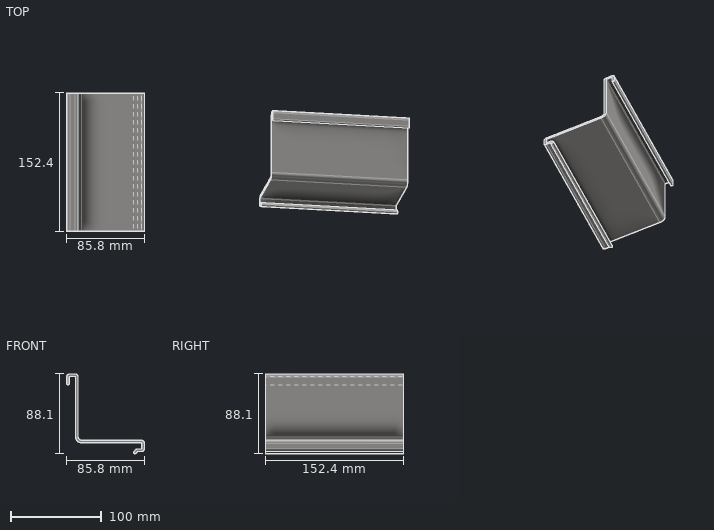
import cadquery as cq
import math

length = 152.4
width = 85.8
height = 88.1

thickness = 3.0
hook_radius = 2.0
main_bend_radius = 5.0

top_hook_width = 12.8
top_lip_drop = 12.2
floor_top = 15.1
bottom_lip_height = 3.8
tip_overhang = 10.5
tip_run = 2.3

half = thickness / 2
lip_x = half
web_x = top_hook_width - half
end_x = width - half
top_z = height - half
floor_z = floor_top - half
lip_end_z = height - top_lip_drop + half
tip_x = width - tip_overhang
tip_z = bottom_lip_height - tip_run


def bend(path, corner, incoming, outgoing, radius):
    """Run straight to a square corner, then round it with a quarter arc."""
    x, z = corner
    in_x, in_z = incoming
    out_x, out_z = outgoing
    start = (x - radius * in_x, z - radius * in_z)
    end = (x + radius * out_x, z + radius * out_z)
    inset = radius * (1 - math.sqrt(0.5))
    middle = (x + inset * (out_x - in_x), z + inset * (out_z - in_z))
    return path.lineTo(*start).threePointArc(middle, end)


UP, DOWN, LEFT, RIGHT = (0, 1), (0, -1), (-1, 0), (1, 0)

path = cq.Workplane("XZ").moveTo(lip_x, lip_end_z)
path = bend(path, (lip_x, top_z), UP, RIGHT, hook_radius)
path = bend(path, (web_x, top_z), RIGHT, DOWN, hook_radius)
path = bend(path, (web_x, floor_z), DOWN, RIGHT, main_bend_radius)
path = bend(path, (end_x, floor_z), RIGHT, DOWN, hook_radius)
path = bend(path, (end_x, bottom_lip_height), DOWN, LEFT, hook_radius)
path = path.lineTo(tip_x + tip_run, bottom_lip_height).lineTo(tip_x, tip_z)

result = path.wire().offset2D(half, "arc").extrude(-length)